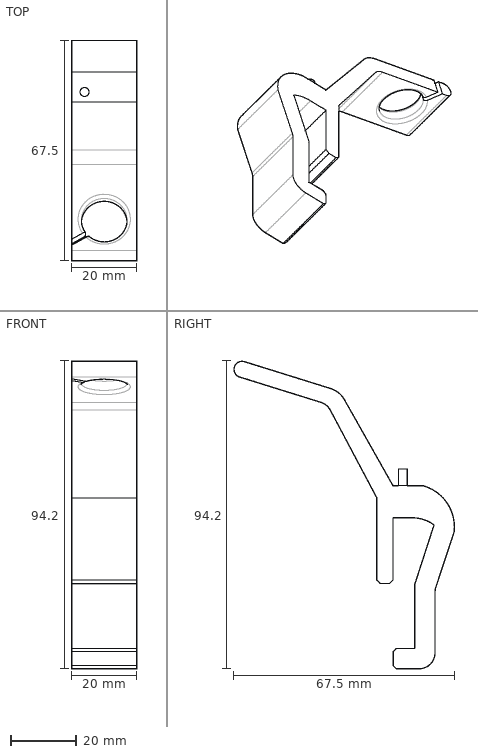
import cadquery as cq
import math

width = 20.0
height = 94.15

jaw_thickness = 5.0
jaw_bottom = 26.1
jaw_chamfer = 1.1
beam_top = 56.1
beam_bottom = 46.2
arm_front_base = 52.35

shoulder_outer_start = (14.1, beam_top)
shoulder_outer_middle = (21.2, 51.3)
shoulder_outer_end = (23.7, 41.9)
shoulder_inner_start = (11.0, beam_bottom)
shoulder_inner_middle = (14.4, 45.7)
shoulder_inner_end = (17.5, 44.1)

leg_thickness = 6.3
leg_inner = 11.6
leg_outer = leg_inner + leg_thickness
leg_inner_bend = 25.8
leg_outer_bend = 24.3
leg_bend_radius = 5.0
hook_tip = jaw_thickness
hook_corner_radius = 5.0
hook_chamfer = 1.0

plate_angle = math.radians(17.3)
plate_thickness = 5.0
tip_radius = plate_thickness / 2
tip_front = -43.7
tip_y = tip_front + tip_radius
tip_z = height - tip_radius
fold_outer_y = -11.3
fold_inner_y = -15.2
fold_outer_radius = 7.5
fold_inner_radius = 4.7

hole_radius = 7.0
hole_edge_radius = 1.0
hole_from_tip = 10.0
slit_width = 1.6
slit_angle = 30.0
slit_mouth = -7.3

pin_diameter = 2.7
pin_x = -6.0
pin_y = 8.0
pin_top = 61.2


def plate_point(along, above):
    """(Y, Z) at a distance back from the tip's centre and above the plate's mid-plane."""
    y = tip_y + along * math.cos(plate_angle) + above * math.sin(plate_angle)
    z = tip_z - along * math.sin(plate_angle) + above * math.cos(plate_angle)
    return (y, z)


def plate_face_at(y, above):
    """(Y, Z) on the plate's upper or lower face at a given Y."""
    start_y, start_z = plate_point(0, above)
    return (y, start_z - (y - start_y) * math.tan(plate_angle))


def fillet_at(body, corner, radius):
    """Round the edge along X that passes through the (Y, Z) corner."""
    edge = cq.selectors.NearestToPointSelector((0, *corner))
    return body.edges("|X").edges(edge).fillet(radius)


def chamfer_at(body, corner, size):
    """Bevel the edge along X that passes through the (Y, Z) corner."""
    edge = cq.selectors.NearestToPointSelector((0, *corner))
    return body.edges("|X").edges(edge).chamfer(size)


def make_body():
    fold_outer = plate_face_at(fold_outer_y, tip_radius)
    fold_inner = plate_face_at(fold_inner_y, -tip_radius)
    outline = (
        cq.Workplane("YZ")
        .moveTo(0, jaw_bottom)
        .lineTo(0, arm_front_base)
        .lineTo(*fold_inner)
        .lineTo(*plate_point(0, -tip_radius))
        .threePointArc(plate_point(-tip_radius, 0), plate_point(0, tip_radius))
        .lineTo(*fold_outer)
        .lineTo(jaw_thickness, beam_top)
        .lineTo(*shoulder_outer_start)
        .threePointArc(shoulder_outer_middle, shoulder_outer_end)
        .lineTo(leg_outer, leg_outer_bend)
        .lineTo(leg_outer, 0)
        .lineTo(hook_tip, 0)
        .lineTo(hook_tip, leg_thickness)
        .lineTo(leg_inner, leg_thickness)
        .lineTo(leg_inner, leg_inner_bend)
        .lineTo(*shoulder_inner_end)
        .threePointArc(shoulder_inner_middle, shoulder_inner_start)
        .lineTo(jaw_thickness, beam_bottom)
        .lineTo(jaw_thickness, jaw_bottom)
        .close()
    )
    body = outline.extrude(width / 2, both=True)
    body = fillet_at(body, fold_outer, fold_outer_radius)
    body = fillet_at(body, fold_inner, fold_inner_radius)
    body = fillet_at(body, (leg_outer, leg_outer_bend), leg_bend_radius)
    body = fillet_at(body, (leg_outer, 0), hook_corner_radius)
    for z in (0, leg_thickness):
        body = chamfer_at(body, (hook_tip, z), hook_chamfer)
    for y in (0, jaw_thickness):
        body = chamfer_at(body, (y, jaw_bottom), jaw_chamfer)
    return body


def make_ring_cutter():
    """Hole with rounded rims on both faces: a profile revolved about the hole's axis."""
    rim_radius = hole_radius + hole_edge_radius
    straight = tip_radius - hole_edge_radius
    bulge = hole_edge_radius * (1 - math.sqrt(0.5))
    profile = (
        cq.Workplane("XZ")
        .moveTo(0, -tip_radius)
        .lineTo(rim_radius, -tip_radius)
        .threePointArc((hole_radius + bulge, -tip_radius + bulge), (hole_radius, -straight))
        .lineTo(hole_radius, straight)
        .threePointArc((hole_radius + bulge, tip_radius - bulge), (rim_radius, tip_radius))
        .lineTo(0, tip_radius)
        .close()
    )
    return profile.revolve(360, (0, 0, 0), (0, 1, 0))


def make_slit_cutter():
    """Bar running from beyond the -X side into the hole."""
    length = width
    depth = 2 * plate_thickness
    return (
        cq.Workplane("XY")
        .box(length, slit_width, depth)
        .rotate((0, 0, 0), (0, 0, 1), slit_angle)
        .translate((-width / 2, slit_mouth, 0))
    )


def place_on_plate(cutter):
    """Tilt a cutter into the plate and move it to the hole's centre."""
    hole_y, hole_z = plate_point(hole_from_tip, 0)
    tilted = cutter.rotate((0, 0, 0), (1, 0, 0), -math.degrees(plate_angle))
    return tilted.translate((0, hole_y, hole_z))


def make_pin():
    return (
        cq.Workplane("XY", origin=(pin_x, pin_y, beam_bottom + jaw_thickness))
        .circle(pin_diameter / 2)
        .extrude(pin_top - beam_bottom - jaw_thickness)
    )


result = make_body().union(make_pin())
result = result.cut(place_on_plate(make_ring_cutter()))
result = result.cut(place_on_plate(make_slit_cutter()))